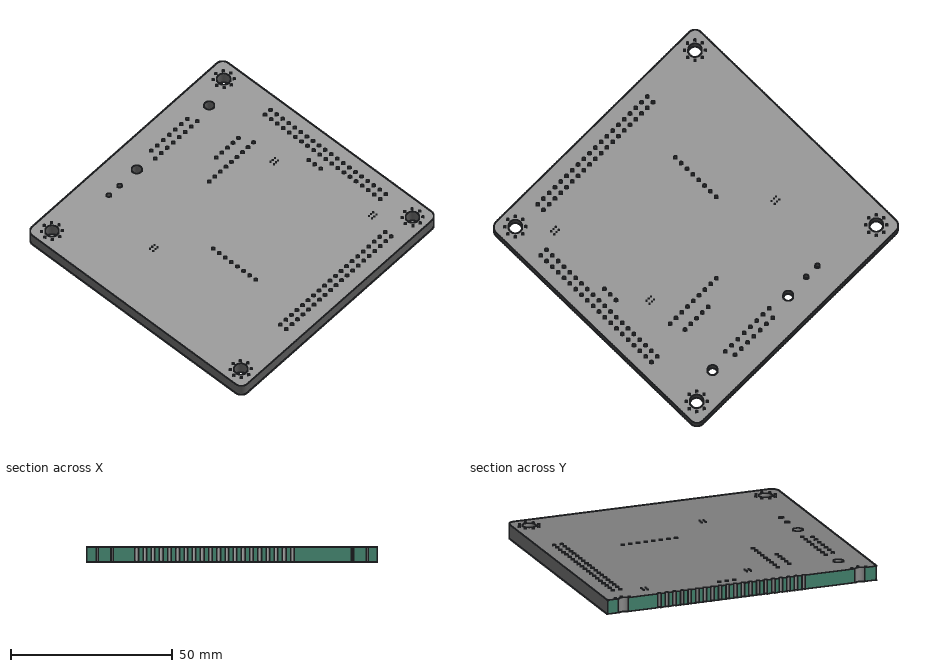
import cadquery as cq

PLATE_SIDE = 90.0
PLATE_THICKNESS = 4.7
CORNER_RADIUS = 2.5

MOUNT_CENTER_X = 0.2
MOUNT_CENTER_Y = -0.1
MOUNT_OFFSET = 39.5
MOUNT_DIAMETER = 4.3
RING_DIAMETER = 6.5
RING_HOLE_DIAMETER = 0.6
RING_HOLE_COUNT = 8

PIN_DIAMETER = 1.0
HEADER_ROW_GAP = 2.5
LONG_HEADER_LENGTH = 48.2
LONG_HEADER_PINS = 20
BACK_HEADER_LEFT = -20.6
BACK_HEADER_Y = 37.9
SIDE_HEADER_X = 37.3
SIDE_HEADER_TOP = 29.5

SINGLE_HEADERS = [
    ((1.1, 34.1), (6.1, 34.1), 3),
    ((2.2, -11.1), (20.0, -11.1), 8),
    ((-16.1, 27.6), (-16.1, 7.3), 9),
    ((-20.7, 25.7), (-20.7, 15.6), 5),
]

CONNECTOR_CENTER_Y = 12.2
INNER_COLUMN_X = -34.5
INNER_COLUMN_PINS = 8
INNER_COLUMN_LENGTH = 19.35
CONNECTOR_PIN_PITCH = INNER_COLUMN_LENGTH / (INNER_COLUMN_PINS - 1)
OUTER_COLUMN_X = -37.35
OUTER_COLUMN_PINS = 7
POST_X = -35.8
POST_SPACING = 33.3
POST_DIAMETER = 3.2

PAIR_X = -35.55
PAIR_TOP_Y = -12.6
PAIR_SPACING = 4.95
PAIR_DIAMETER = 1.5

TINY_DIAMETER = 0.2
TINY_COLUMN_PITCH = 1.35
TINY_ROW_PITCH = 1.0
TINY_GRID_CENTERS = [(30.1, 31.7), (-6.5, 26.6), (-11.6, -23.2)]


def hole_row(start, end, count):
    """Centres of equally spaced holes from start to end, both included."""
    (x0, y0), (x1, y1) = start, end
    step_x = (x1 - x0) / (count - 1)
    step_y = (y1 - y0) / (count - 1)
    return [(x0 + i * step_x, y0 + i * step_y) for i in range(count)]


def connector_column(x, count):
    """Connector pin column, centred on the connector."""
    half_length = CONNECTOR_PIN_PITCH * (count - 1) / 2
    return hole_row((x, CONNECTOR_CENTER_Y + half_length), (x, CONNECTOR_CENTER_Y - half_length), count)


def header_pins():
    """Double-row headers along the back and right edges, and the single rows."""
    back_right = BACK_HEADER_LEFT + LONG_HEADER_LENGTH
    side_bottom = SIDE_HEADER_TOP - LONG_HEADER_LENGTH
    pins = []
    for y in (BACK_HEADER_Y, BACK_HEADER_Y + HEADER_ROW_GAP):
        pins += hole_row((BACK_HEADER_LEFT, y), (back_right, y), LONG_HEADER_PINS)
    for x in (SIDE_HEADER_X, SIDE_HEADER_X + HEADER_ROW_GAP):
        pins += hole_row((x, SIDE_HEADER_TOP), (x, side_bottom), LONG_HEADER_PINS)
    for first_pin, last_pin, count in SINGLE_HEADERS:
        pins += hole_row(first_pin, last_pin, count)
    return pins


def drill(plate, centers, diameter):
    """Drill holes of one diameter through the whole plate."""
    drills = (
        cq.Workplane("XY")
        .pushPoints(centers)
        .circle(diameter / 2)
        .extrude(PLATE_THICKNESS)
    )
    return plate.cut(drills)


plate = (
    cq.Workplane("XY")
    .box(PLATE_SIDE, PLATE_SIDE, PLATE_THICKNESS, centered=(True, True, False))
    .edges("|Z")
    .fillet(CORNER_RADIUS)
)

mount_centers = [
    (MOUNT_CENTER_X + side_x * MOUNT_OFFSET, MOUNT_CENTER_Y + side_y * MOUNT_OFFSET)
    for side_x in (-1, 1)
    for side_y in (-1, 1)
]
plate = drill(plate, mount_centers, MOUNT_DIAMETER)
for center in mount_centers:
    ring_holes = (
        cq.Workplane("XY")
        .center(*center)
        .polarArray(RING_DIAMETER / 2, 0, 360, RING_HOLE_COUNT)
        .circle(RING_HOLE_DIAMETER / 2)
        .extrude(PLATE_THICKNESS)
    )
    plate = plate.cut(ring_holes)

connector_pins = (
    connector_column(INNER_COLUMN_X, INNER_COLUMN_PINS)
    + connector_column(OUTER_COLUMN_X, OUTER_COLUMN_PINS)
)
plate = drill(plate, header_pins() + connector_pins, PIN_DIAMETER)
post_centers = [(POST_X, CONNECTOR_CENTER_Y + side * POST_SPACING / 2) for side in (-1, 1)]
plate = drill(plate, post_centers, POST_DIAMETER)

pair_centers = [(PAIR_X, PAIR_TOP_Y), (PAIR_X, PAIR_TOP_Y - PAIR_SPACING)]
plate = drill(plate, pair_centers, PAIR_DIAMETER)

tiny_centers = [
    (x + column * TINY_COLUMN_PITCH, y + row * TINY_ROW_PITCH)
    for x, y in TINY_GRID_CENTERS
    for column in (-0.5, 0.5)
    for row in (-1, 0, 1)
]
plate = drill(plate, tiny_centers, TINY_DIAMETER)

result = plate